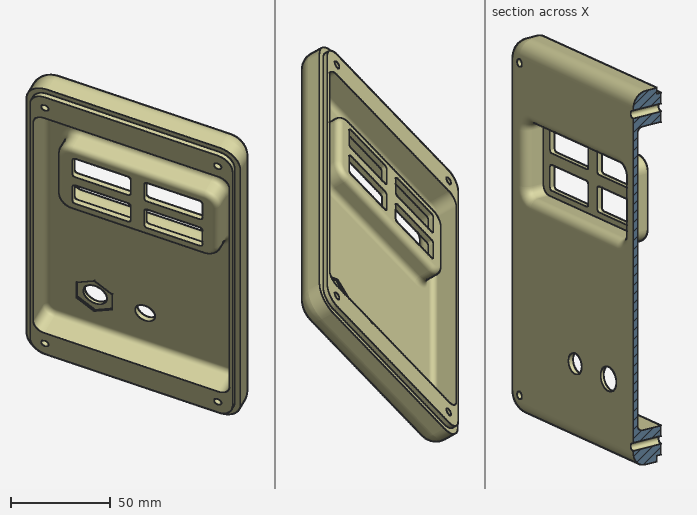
import cadquery as cq

width = 117.9
height = 199.8
depth = 17.5
corner_radius = 11.5
back_edge_radius = 8.0

lip_inset = 3.2
lip_height = 2.5

wall = 3.0
cavity_width = 107.9
cavity_height = 161.8
cavity_corner_radius = 6.0
cavity_floor_radius = 3.0

panel_x = 2.2
panel_z = 38.0
panel_width = 88.7
panel_height = 46.2
panel_corner_radius = 8.0
panel_edge_radius = 3.2
pocket_mouth_radius = 5.0

window_width = 32.0
window_height = 13.8
window_pitch_x = 39.5
window_pitch_z = 20.0
window_corner_radius = 1.5

screw_diameter = 4.0
screw_spacing_x = 95.1
screw_spacing_z = 177.5
fitting_z = -58.3
nut_hole_x = -27.0
nut_hole_diameter = 13.0
nut_across_corners = 22.8
nut_recess_depth = 1.0
nut_turn = 30
plain_hole_x = 1.0
plain_hole_diameter = 11.0

back_y = depth / 2
lip_face_y = -depth / 2
rim_y = lip_face_y + lip_height
floor_y = back_y - wall
panel_face_y = rim_y


def plane_at(y, x=0.0, z=0.0):
    """Workplane facing -Y, with its local axes along +X and +Z."""
    return cq.Workplane("XZ", origin=(x, y, z))


def rounded_block(size_x, size_z, radius, front_y, rear_y, x=0.0, z=0.0):
    """Rectangular block along Y with its four long edges rounded."""
    block = plane_at(rear_y, x, z).rect(size_x, size_z).extrude(rear_y - front_y)
    return block.edges("|Y").fillet(radius)


def make_body():
    shell = rounded_block(width, height, corner_radius, rim_y, back_y)
    shell = shell.faces(">Y").edges().fillet(back_edge_radius)
    lip = rounded_block(
        width - 2 * lip_inset,
        height - 2 * lip_inset,
        corner_radius - lip_inset,
        lip_face_y,
        floor_y,
    )
    return shell.union(lip)


def panel_block(inset, front_y, rear_y):
    """Block that follows the raised panel's walls, moved inwards by inset."""
    return rounded_block(
        panel_width - 2 * inset,
        panel_height - 2 * inset,
        panel_corner_radius - inset,
        front_y,
        rear_y,
        panel_x,
        panel_z,
    )


def make_cavity():
    """Space inside the cover, with the raised panel left standing on its floor."""
    cavity = rounded_block(cavity_width, cavity_height, cavity_corner_radius, lip_face_y, floor_y)
    cavity = cavity.faces(">Y").edges().fillet(cavity_floor_radius)
    panel = panel_block(0, panel_face_y, floor_y)
    panel = panel.faces("<Y").edges().fillet(panel_edge_radius)
    cavity = cavity.cut(panel)
    panel_foot = cavity.faces(">Y").wires(cq.selectors.LengthNthSelector(0)).edges()
    return panel_foot.fillet(panel_edge_radius)


def make_panel_pocket():
    """Hollow behind the raised panel, with a mouth that flares into the back face."""
    pocket = panel_block(wall, panel_face_y + wall, back_y)
    outside = plane_at(back_y + wall, panel_x, panel_z)
    outside = outside.rect(panel_width + 4 * pocket_mouth_radius, panel_height + 4 * pocket_mouth_radius)
    pocket = pocket.union(outside.extrude(wall))
    mouth = pocket.faces("|Y").faces(">Y[-2]").wires(cq.selectors.LengthNthSelector(0)).edges()
    return mouth.fillet(pocket_mouth_radius)


def make_windows():
    windows = plane_at(back_y, panel_x, panel_z).rarray(window_pitch_x, window_pitch_z, 2, 2)
    windows = windows.rect(window_width, window_height).extrude(depth)
    return windows.edges("|Y").fillet(window_corner_radius)


def make_holes():
    screws = plane_at(back_y).rarray(screw_spacing_x, screw_spacing_z, 2, 2)
    holes = screws.circle(screw_diameter / 2).extrude(depth)
    nut_hole = plane_at(back_y, nut_hole_x, fitting_z).circle(nut_hole_diameter / 2).extrude(depth)
    plain_hole = plane_at(back_y, plain_hole_x, fitting_z).circle(plain_hole_diameter / 2).extrude(depth)
    return holes.union(nut_hole).union(plain_hole)


def make_nut_recess():
    """Hexagonal seat in the cavity floor with two corners pointing along Z."""
    seat = plane_at(floor_y + nut_recess_depth, nut_hole_x, fitting_z)
    seat = seat.polygon(6, nut_across_corners).extrude(nut_recess_depth)
    return seat.rotate((nut_hole_x, 0, fitting_z), (nut_hole_x, 1, fitting_z), nut_turn)


result = make_body()
for cutter in (make_cavity(), make_panel_pocket(), make_windows(), make_holes(), make_nut_recess()):
    result = result.cut(cutter)